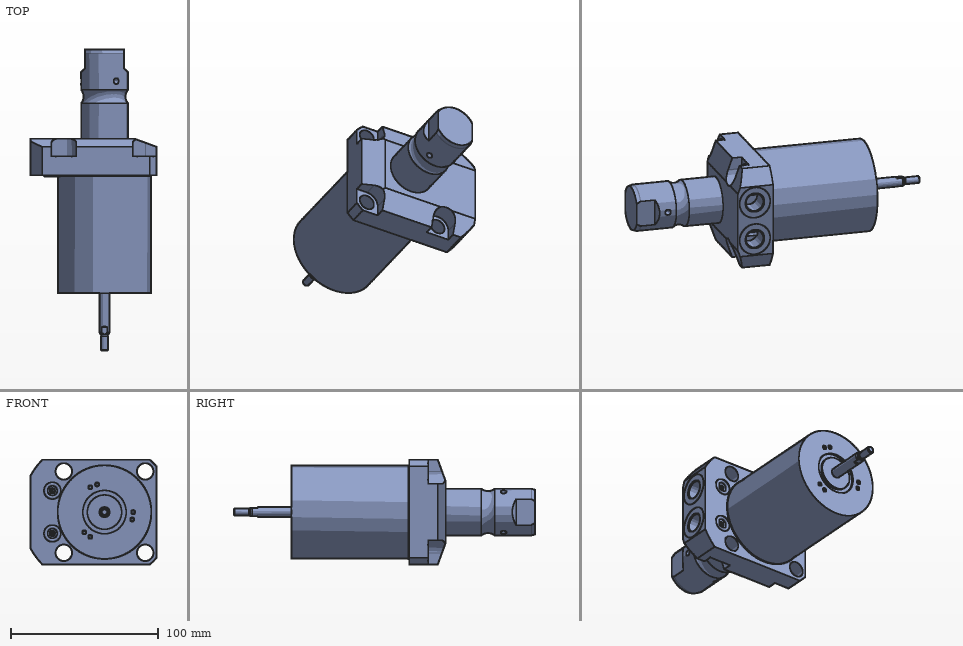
import cadquery as cq
import math


flange_half = 35.5
flange_right = 35.3
flange_left = 50.1
flange_thickness = 24.9
left_corner_radius = 51.0
left_corner_centre = -5.5
right_corner_radius = 46.9
bevel_depth = 5.5
bevel_angle = 20.0
bevel_run = bevel_depth / math.tan(math.radians(bevel_angle))

mount_spacing = 55.0
mount_radius = 5.5
seat_radius = 8.4
seat_floor = 12.8

port_height = 13.0
port_y = 12.8
spotface_radius = 10.8
spotface_depth = 0.2
port_radius = 6.1
port_chamfer = 0.6

face_port_x = -35.3
face_port_z = 14.5
face_port_radius = 1.2
face_port_depth = 13.7
face_port_chamfer = 0.6
ring_radius = 4.5
ring_section_radius = 1.2
ring_proud = 1.0
recess_radius = ring_radius + ring_section_radius
recess_depth = 2 * ring_section_radius - ring_proud

spigot_radius = 31.8
spigot_length = 0.6
barrel_radius = 31.5
barrel_length = 79.7
end_recess_radius = 14.7
end_recess_depth = 1.5
end_cap_radius = 11.6
pin_hole_circle = 19.4
pin_hole_radius = 1.0
pin_hole_chamfer = 0.5
pin_hole_depth = 2.0
pin_hole_groups = 3
pin_hole_offset = -15.0

rod_radius = 16.0
rod_end = 85.2
rod_chamfer_length = 2.6
rod_chamfer_depth = 0.8
groove_start = 48.7
groove_end = 57.9
groove_depth = 1.6
flat_half = 13.2
flat_start = 72.4
dimple_y = 63.8
dimple_radius = 2.0
dimple_depth = 2.0
dimple_count = 3

stem_radius = 3.5
stem_flat_half = 2.9
stem_flat_start = 23.0
stem_shoulder = 27.7
shoulder_chamfer_length = 1.2
shoulder_chamfer_depth = 0.6
neck_radius = 2.2
neck_end = 29.0
tip_radius = 2.5
tip_chamfer = 0.6
tip_end = 118.6 - barrel_length

sides = (-1, 1)
rearward = cq.Vector(0, 1, 0)


def cylinder_y(radius, start, end, x=0.0, z=0.0):
    """Cylinder along Y from start to end."""
    return cq.Workplane(cq.Solid.makeCylinder(radius, end - start, cq.Vector(x, start, z), rearward))


def cone(start_radius, end_radius, start, direction, length):
    """Cone or countersink from a start point along a direction."""
    return cq.Workplane(cq.Solid.makeCone(start_radius, end_radius, length, start, direction))


def block(x_range, y_range, z_range):
    """Box between the given limits."""
    low, high = zip(x_range, y_range, z_range)
    size = [b - a for a, b in zip(low, high)]
    return cq.Workplane(cq.Solid.makeBox(*size, cq.Vector(*low)))


def make_flange():
    """Plate with arc corners and sloping rear edges at the top, the bottom and the right."""
    plate = block((-flange_left, flange_right), (0, flange_thickness), (-flange_half, flange_half))
    left_round = cylinder_y(left_corner_radius, 0, flange_thickness, left_corner_centre)
    right_round = cylinder_y(right_corner_radius, 0, flange_thickness)
    left_half = block((-flange_left, 0), (0, flange_thickness), (-flange_half, flange_half))
    right_half = block((0, flange_right), (0, flange_thickness), (-flange_half, flange_half))
    plate = plate.intersect(left_round.union(right_half)).intersect(right_round.union(left_half))
    shoulder = flange_thickness - bevel_depth
    right_bevel = [
        (flange_right, shoulder),
        (flange_right, flange_thickness),
        (flange_right - bevel_run, flange_thickness),
    ]
    plate = plate.cut(cq.Workplane("XY").polyline(right_bevel).close().extrude(flange_half, both=True))
    for side in sides:
        bevel = [
            (shoulder, side * flange_half),
            (flange_thickness, side * flange_half),
            (flange_thickness, side * (flange_half - bevel_run)),
        ]
        plate = plate.cut(cq.Workplane("YZ").polyline(bevel).close().extrude(flange_left, both=True))
    return plate


def cut_mounts(body):
    """Four through holes; the rear seats open to the nearest edges of the flange."""
    centre = mount_spacing / 2
    seat_range = (seat_floor, flange_thickness)
    for side_x in sides:
        for side_z in sides:
            x, z = side_x * centre, side_z * centre
            outward = sorted((z, side_z * flange_half))
            body = body.cut(cylinder_y(mount_radius, 0, flange_thickness, x, z))
            body = body.cut(cylinder_y(seat_radius, *seat_range, x, z))
            body = body.cut(block((x - seat_radius, x + seat_radius), seat_range, outward))
            if side_x > 0:
                inner_to_edge = sorted((z - side_z * seat_radius, side_z * flange_half))
                body = body.cut(block((x, flange_right), seat_range, inner_to_edge))
    return body


def cut_ports(body):
    """Side ports, each met by a drilling from an O-ring recess in the front face."""
    port_length = flange_left + face_port_x
    inward = cq.Vector(1, 0, 0)
    for side in sides:
        mouth = cq.Vector(-flange_left, port_y, side * port_height)
        body = body.cut(cq.Workplane(cq.Solid.makeCylinder(spotface_radius, spotface_depth, mouth, inward)))
        body = body.cut(cq.Workplane(cq.Solid.makeCylinder(port_radius, port_length, mouth, inward)))
        seat = mouth + inward * spotface_depth
        body = body.cut(cone(port_radius + port_chamfer, port_radius, seat, inward, port_chamfer))

        z = side * face_port_z
        body = body.cut(cylinder_y(recess_radius, 0, recess_depth, face_port_x, z))
        body = body.cut(cylinder_y(face_port_radius, 0, face_port_depth, face_port_x, z))
        mouth_radius = face_port_radius + face_port_chamfer
        floor = cq.Vector(face_port_x, recess_depth, z)
        body = body.cut(cone(mouth_radius, face_port_radius, floor, rearward, face_port_chamfer))
    return body


def make_barrel():
    """Barrel on a slightly wider spigot, with a ring recess and pairs of pin holes in its end."""
    barrel = cylinder_y(barrel_radius, -barrel_length, 0)
    barrel = barrel.union(cylinder_y(spigot_radius, -spigot_length, 0))
    end_range = (-barrel_length, -barrel_length + end_recess_depth)
    ring = cylinder_y(end_recess_radius, *end_range).cut(cylinder_y(end_cap_radius, *end_range))
    barrel = barrel.cut(ring)
    for group in range(pin_hole_groups):
        for offset in (0, pin_hole_offset):
            angle = math.radians(group * 360 / pin_hole_groups + offset)
            x = pin_hole_circle * math.cos(angle)
            z = pin_hole_circle * math.sin(angle)
            mouth = cq.Vector(x, -barrel_length, z)
            mouth_radius = pin_hole_radius + pin_hole_chamfer
            barrel = barrel.cut(cylinder_y(pin_hole_radius, mouth.y, mouth.y + pin_hole_depth, x, z))
            barrel = barrel.cut(cone(mouth_radius, pin_hole_radius, mouth, rearward, pin_hole_chamfer))
    return barrel


def cut_flats(rod, plane, radius, half_width, start, end):
    """Two opposite flats from start to end along Y, running out at 45 degrees before the start."""
    run_out = math.copysign(radius - half_width, end - start)
    for side in sides:
        outline = [
            (side * half_width, end),
            (side * half_width, start),
            (side * radius, start - run_out),
            (side * radius, end),
        ]
        rod = rod.cut(cq.Workplane(plane).polyline(outline).close().extrude(radius, both=True))
    return rod


def make_rear_rod():
    """Rod with a round groove, two spanner flats and conical dimples."""
    rod = (
        cq.Workplane("XY")
        .moveTo(0, flange_thickness)
        .lineTo(rod_radius, flange_thickness)
        .lineTo(rod_radius, groove_start)
        .threePointArc(
            (rod_radius - groove_depth, (groove_start + groove_end) / 2), (rod_radius, groove_end)
        )
        .lineTo(rod_radius, rod_end - rod_chamfer_length)
        .lineTo(rod_radius - rod_chamfer_depth, rod_end)
        .lineTo(0, rod_end)
        .close()
        .revolve(360, (0, 0, 0), (0, 1, 0))
    )
    rod = cut_flats(rod, "XY", rod_radius, flat_half, flat_start, rod_end)
    for index in range(dimple_count):
        angle = math.radians(180 + index * 360 / dimple_count)
        outward = cq.Vector(math.cos(angle), 0, math.sin(angle))
        start = outward * rod_radius + cq.Vector(0, dimple_y, 0)
        rod = rod.cut(cone(dimple_radius, 0, start, outward * -1, dimple_depth))
    return rod


def make_front_rod():
    """Thin rod with a chamfered shoulder, two flats, a neck and a chamfered tip."""
    profile = [
        (0, 0),
        (stem_radius, 0),
        (stem_radius, stem_shoulder - shoulder_chamfer_length),
        (stem_radius - shoulder_chamfer_depth, stem_shoulder),
        (neck_radius, stem_shoulder),
        (neck_radius, neck_end),
        (tip_radius, neck_end),
        (tip_radius, tip_end - tip_chamfer),
        (tip_radius - tip_chamfer, tip_end),
        (0, tip_end),
    ]
    points = [(radius, -barrel_length - distance) for radius, distance in profile]
    rod = cq.Workplane("XY").polyline(points).close().revolve(360, (0, 0, 0), (0, 1, 0))
    start = -barrel_length - stem_flat_start
    end = -barrel_length - stem_shoulder
    rod = cut_flats(rod, "ZY", stem_radius, stem_flat_half, start, end)
    return rod


def make_cylinder_body():
    """Flange, barrel and rods as one solid."""
    body = cut_ports(cut_mounts(make_flange()))
    return body.union(make_barrel()).union(make_rear_rod()).union(make_front_rod())


def make_o_ring(z):
    """O-ring lying on the floor of a face port recess and standing proud of the flange."""
    centre = cq.Vector(face_port_x, recess_depth - ring_section_radius, z)
    return cq.Solid.makeTorus(ring_radius, ring_section_radius, centre, rearward)


cylinder_body = make_cylinder_body()
o_rings = [make_o_ring(side * face_port_z) for side in sides]

result = cq.Compound.makeCompound([cylinder_body.val(), *o_rings])